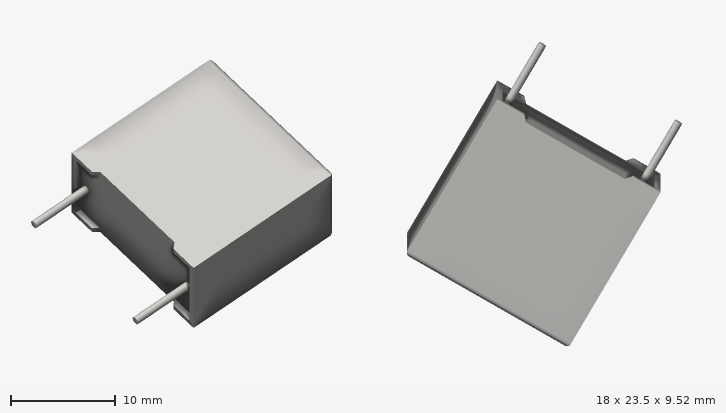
import cadquery as cq

case_width = 18.0
case_length = 17.5
case_height = 9.52
wall = 0.59
edge_radius = 0.5

notch_depth = 0.59
notch_floor_width = 11.0
notch_mouth_width = 12.0

fill_recess = 0.59

lead_diameter = 0.8
lead_pitch = 15.0
lead_reach = 6.0

cavity_width = case_width - 2 * wall
cavity_height = case_height - 2 * wall
cavity_end = case_length - wall


def block(width, height, y_start, y_end):
    """Box centred on the Y axis, from y_start to y_end."""
    return cq.Workplane("XY").box(
        width, y_end - y_start, height, centered=(True, False, True)
    ).translate((0, y_start, 0))


def make_case():
    """Rounded closed end, open cavity and notched rim at Y = 0."""
    body = block(case_width, case_height, 0, case_length)
    body = body.faces(">Y").edges().fillet(edge_radius)
    cavity = block(cavity_width, cavity_height, 0, cavity_end)
    notch = (
        cq.Workplane("XY")
        .polyline([
            (-notch_mouth_width / 2, 0),
            (-notch_floor_width / 2, notch_depth),
            (notch_floor_width / 2, notch_depth),
            (notch_mouth_width / 2, 0),
        ])
        .close()
        .extrude(case_height / 2, both=True)
    )
    return body.cut(cavity).cut(notch)


def make_fill():
    """Solid filling of the cavity, flat and set back from the rim."""
    return block(cavity_width, cavity_height, fill_recess, cavity_end)


def make_lead(x):
    """Straight round wire standing on the face of the filling."""
    return (
        cq.Workplane("XZ", origin=(x, fill_recess, 0))
        .circle(lead_diameter / 2)
        .extrude(lead_reach + fill_recess)
    )


case = make_case()
fill = make_fill()
leads = [make_lead(side * lead_pitch / 2) for side in (-1, 1)]

result = cq.Compound.makeCompound([case.val(), fill.val(), *[lead.val() for lead in leads]])